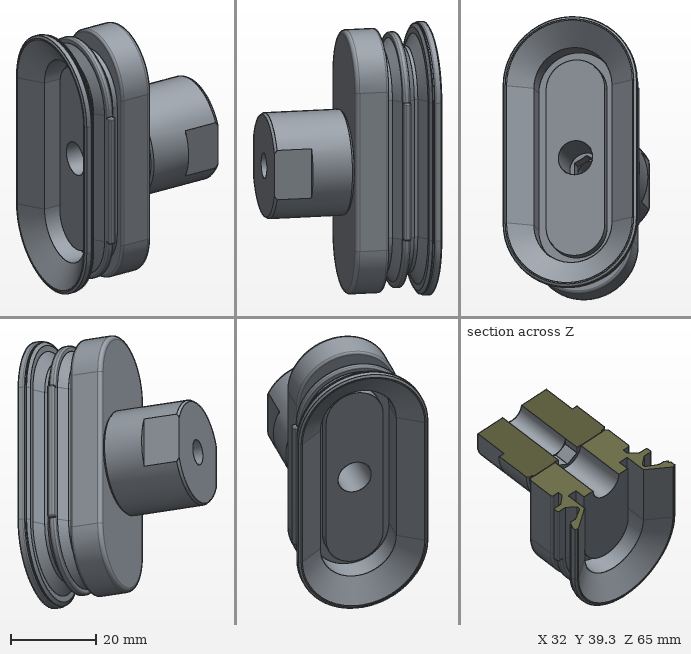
import cadquery as cq
import math


bellows_half_straight = 16.5
lip_radius = 16.0
lip_thickness = 1.75
lip_bevel_radial = 0.6
lip_bevel_axial = 0.3
lip_back_fillet = 0.25

groove_radius = 15.55
bead_radius = 15.7
bead_front_y = 2.15
bead_back_y = 2.9
bead_slope_radial = 0.9
bead_slope_axial = 0.6

neck_radius = 10.45
skirt_back_radius = 13.4
skirt_end_y = 4.7
fold_start_y = 5.5
fold_end_y = 10.8
fold_cone_radius = 12.6
rim_front_y = 7.2
rim_back_y = 8.9
rim_radius = 13.9
rim_bar_half_width = 14.95
rim_fillet = 0.45

mouth_radius = 15.1
funnel_depth = 4.0
cavity_radius = 9.35
cavity_depth = 9.6
boss_radius = 7.0
boss_front_y = 6.8
air_hole_radius = 4.1

plate_radius = 12.5
plate_half_straight = 19.0
plate_front_y = 12.0
plate_back_y = 20.1
plate_front_fillet = 0.6
plate_back_fillet = 1.0

overall_depth = 39.3
fitting_radius = plate_radius
shoulder_radius = 11.0
shoulder_height = 0.25
front_chamfer = 0.5
back_chamfer_radial = 0.4
back_chamfer_axial = 0.65
flat_half_width = 11.0
flat_length = 9.0
hex_across_flats = 6.0
hex_depth = 4.0
bore_radius = hex_across_flats / 2


def plane_at(y):
    """Plane facing +Y, with its local x along Z."""
    return cq.Workplane(cq.Plane(origin=(0, y, 0), xDir=(0, 0, 1), normal=(0, 1, 0)))


def oval(radius, y_start, y_end, half_straight=bellows_half_straight, end_radius=None):
    """Oval slab along Y, tapering to end_radius when one is given."""
    length = y_end - y_start
    taper = 0
    if end_radius is not None:
        taper = math.degrees(math.atan2(radius - end_radius, length))
    outline = plane_at(y_start).slot2D(2 * (half_straight + radius), 2 * radius)
    return outline.extrude(length, taper=taper)


def disc(radius, y_start, y_end):
    """Round cylinder along Y."""
    return plane_at(y_start).circle(radius).extrude(y_end - y_start)


def make_lip():
    bevel = oval(lip_radius - lip_bevel_radial, 0, lip_bevel_axial, end_radius=lip_radius)
    lip = oval(lip_radius, lip_bevel_axial, lip_thickness)
    lip = lip.faces(">Y").edges().fillet(lip_back_fillet)
    groove = oval(groove_radius, lip_thickness, bead_front_y)
    slope_start_y = bead_back_y - bead_slope_axial
    bead = oval(bead_radius, bead_front_y, slope_start_y)
    slope = oval(bead_radius, slope_start_y, bead_back_y, end_radius=bead_radius - bead_slope_radial)
    return lip.union(bevel).union(groove).union(bead).union(slope)


def make_fold_rim():
    rim = oval(rim_radius, rim_front_y, rim_back_y).faces("<Y or >Y").edges().fillet(rim_fillet)
    side_bars = cq.Workplane("XY").box(
        2 * rim_bar_half_width, rim_back_y - rim_front_y, 2 * bellows_half_straight
    )
    side_bars = side_bars.edges().fillet(rim_fillet)
    return rim.union(side_bars.translate((0, (rim_front_y + rim_back_y) / 2, 0)))


def make_bellows():
    core = oval(neck_radius, bead_back_y, plate_front_y)
    skirt = oval(skirt_back_radius, bead_back_y, skirt_end_y, end_radius=neck_radius)
    fold_front = oval(neck_radius, fold_start_y, rim_front_y, end_radius=fold_cone_radius)
    fold_back = oval(fold_cone_radius, rim_back_y, fold_end_y, end_radius=neck_radius)
    return core.union(skirt).union(fold_front).union(fold_back).union(make_fold_rim())


def make_plate():
    plate = oval(plate_radius, plate_front_y, plate_back_y, plate_half_straight)
    plate = plate.faces("<Y").edges().fillet(plate_front_fillet)
    return plate.faces(">Y").edges().fillet(plate_back_fillet)


def make_cavity():
    funnel = oval(mouth_radius, 0, funnel_depth, end_radius=cavity_radius)
    well = oval(cavity_radius, funnel_depth, cavity_depth)
    boss = oval(boss_radius, boss_front_y, cavity_depth)
    return funnel.union(well).cut(boss)


def make_suction_cup():
    cup = make_lip().union(make_bellows()).union(make_plate())
    return cup.cut(make_cavity()).cut(disc(air_hole_radius, 0, plate_back_y))


def make_barrel():
    """Turned outer shape of the fitting, revolved about the Y axis."""
    barrel_front_y = plate_back_y + shoulder_height
    profile = [
        (0, plate_back_y),
        (shoulder_radius, plate_back_y),
        (shoulder_radius, barrel_front_y),
        (fitting_radius - front_chamfer, barrel_front_y),
        (fitting_radius, barrel_front_y + front_chamfer),
        (fitting_radius, overall_depth - back_chamfer_axial),
        (fitting_radius - back_chamfer_radial, overall_depth),
        (0, overall_depth),
    ]
    return cq.Workplane("XY").polyline(profile).close().revolve(360, (0, 0), (0, 1))


def make_wrench_flats():
    """Ring of waste that leaves two flats facing -X and +X."""
    blank = plane_at(overall_depth - flat_length).rect(4 * fitting_radius, 4 * fitting_radius)
    kept = plane_at(overall_depth - flat_length).rect(4 * fitting_radius, 2 * flat_half_width)
    return blank.extrude(flat_length).cut(kept.extrude(flat_length))


def make_hex_socket():
    """Hexagon with corners at +Z and -Z."""
    corner_diameter = hex_across_flats / math.cos(math.pi / 6)
    return plane_at(plate_back_y).polygon(6, corner_diameter).extrude(hex_depth)


def make_fitting():
    bore = disc(bore_radius, plate_back_y, overall_depth)
    return make_barrel().cut(make_wrench_flats()).cut(make_hex_socket()).cut(bore)


suction_cup = make_suction_cup()
fitting = make_fitting()

result = cq.Compound.makeCompound([suction_cup.solids().val(), fitting.solids().val()])